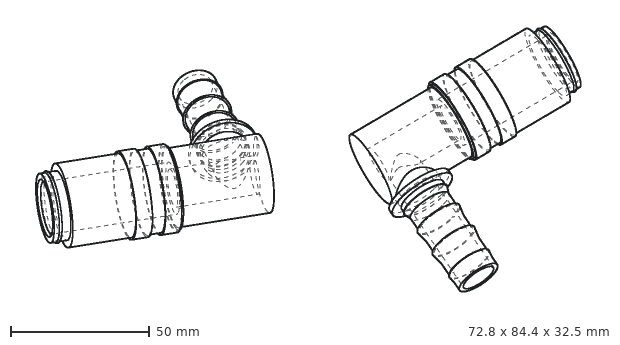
import cadquery as cq

tube_radius = 14.5
sleeve_radius = 15.45
collar_radius = 16.25
neck_radius = 12.75
bead_radius = 13.25

flange_radius = 12.9
overall_length = 84.4
overall_width = 72.75
mouth_y = flange_radius - overall_length
tube_end_y = 10.4
sleeve_start_y = -23.8
sleeve_end_y = -65.2
collar_width = 6.1
collar_ends_y = [-30.7, -41.7]
bead_y = -69.0
bead_width = 1.0

mouth_bore_radius = 10.55
step_bore_radius = 9.5
main_bore_radius = 7.0
mouth_taper_depth = 0.9
step_y = sleeve_start_y
main_bore_end_y = main_bore_radius

tip_x = collar_radius - overall_width
hose_radius = 8.3
root_radius = 9.0
branch_bore_radius = 6.5
flange_start_x = -18.5
flange_thickness = 2.1
root_start_x = -20.7
barbs = [
    (-52.9, -50.1, 8.7),
    (-44.05, -39.6, 9.1),
    (-33.9, -29.45, 9.1),
    (-23.5, root_start_x, 9.4),
]


def y_cylinder(radius, start, end):
    """Solid cylinder on the Y axis, running from the lower start to end."""
    return cq.Workplane("XZ", origin=(0, start, 0)).circle(radius).extrude(start - end)


def x_cylinder(radius, start, end):
    """Solid cylinder on the X axis, running from start to end."""
    return cq.Workplane("YZ", origin=(start, 0, 0)).circle(radius).extrude(end - start)


def make_body():
    neck = y_cylinder(neck_radius, mouth_y, sleeve_end_y)
    body = y_cylinder(tube_radius, sleeve_start_y, tube_end_y)
    body = body.union(y_cylinder(sleeve_radius, sleeve_end_y, sleeve_start_y)).union(neck)
    for end_y in collar_ends_y:
        body = body.union(y_cylinder(collar_radius, end_y, end_y + collar_width))
    return body.union(make_bead())


def make_bead():
    """Rounded retaining bead around the neck."""
    profile = (
        cq.Workplane("XY")
        .moveTo(0, bead_y - bead_width / 2)
        .lineTo(neck_radius, bead_y - bead_width / 2)
        .threePointArc((bead_radius, bead_y), (neck_radius, bead_y + bead_width / 2))
        .lineTo(0, bead_y + bead_width / 2)
        .close()
    )
    return profile.revolve(360, (0, 0, 0), (0, 1, 0))


def make_branch():
    """Barbed hose tail with its flange, reaching to the body axis."""
    profile = cq.Workplane("XY").moveTo(tip_x, 0).lineTo(tip_x, hose_radius)
    for ramp_start, ramp_end, crest_radius in barbs:
        base_radius = root_radius if ramp_end == root_start_x else hose_radius
        profile = (
            profile.lineTo(ramp_start, hose_radius)
            .lineTo(ramp_end, crest_radius)
            .lineTo(ramp_end, base_radius)
        )
    profile = profile.lineTo(0, root_radius).lineTo(0, 0).close()
    branch = profile.revolve(360, (0, 0, 0), (1, 0, 0))
    return branch.union(x_cylinder(flange_radius, flange_start_x, flange_start_x + flange_thickness))


def make_body_bore():
    """Tapered mouth, wide bore, flat step and blind main bore."""
    taper_y = mouth_y + mouth_taper_depth
    profile = cq.Workplane("XY").polyline([
        (0, mouth_y),
        (mouth_bore_radius, mouth_y),
        (step_bore_radius, taper_y),
        (step_bore_radius, step_y),
        (main_bore_radius, step_y),
        (main_bore_radius, main_bore_end_y),
        (0, main_bore_end_y),
    ]).close()
    return profile.revolve(360, (0, 0, 0), (0, 1, 0))


branch_bore = x_cylinder(branch_bore_radius, tip_x, 0)
result = make_body().union(make_branch()).cut(make_body_bore()).cut(branch_bore)